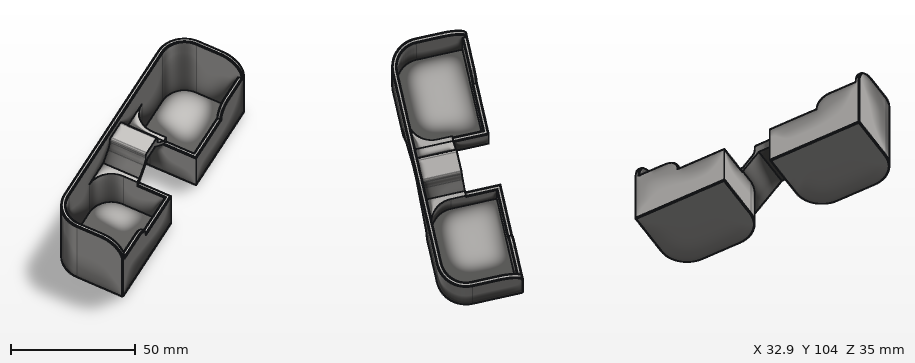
import cadquery as cq
import math

length = 104.0
depth = 32.9
height = 35.0

wall = 2.0
floor = 2.0
corner_radius = 12.0
bin_length = 41.5
edge_chamfer = 0.4

end_round = 10.0
high_rim = height - end_round
step_radius = 6.1
low_rim = high_rim - step_radius
step_start = 13.9

bridge_depth = 18.3
notch_top = 26.4
notch_flat = 6.1
saddle_top = 30.9
saddle_flat = 7.9
saddle_convex = 1.0
saddle_concave = 5.0
saddle_foot = 21.2

mid = length / 2
gap_half = mid - bin_length
notch_half = gap_half + corner_radius
overshoot = 1.0
margin = 0.1


def along_x(profile, x_start, x_end):
    """Extrude a closed (Y, Z) profile from x_start to x_end."""
    return profile.extrude(x_end - x_start).translate((x_start, 0, 0))


def rounded_block(x_size, y_size, z_size, radius):
    """Block with its lower corner at the origin and both -X uprights rounded."""
    block = cq.Workplane("XY").box(x_size, y_size, z_size, centered=False)
    return block.edges("|Z and <X").fillet(radius)


def notch():
    """Passage under the bridge: a 45 degree roof over an upright slot."""
    flat_half = notch_flat / 2
    spring = notch_top - (notch_half - flat_half)
    profile = (
        cq.Workplane("YZ")
        .moveTo(mid - notch_half, -overshoot)
        .lineTo(mid - notch_half, spring)
        .lineTo(mid - flat_half, notch_top)
        .lineTo(mid + flat_half, notch_top)
        .lineTo(mid + notch_half, spring)
        .lineTo(mid + notch_half, -overshoot)
        .close()
    )
    return along_x(profile, -overshoot, depth + overshoot)


def saddle_clearance():
    """Space above the bridge, shaped by the top of the saddle."""
    flat_half = saddle_flat / 2
    side_half = flat_half + saddle_convex
    diagonal = math.sqrt(0.5)
    slope_half = side_half + saddle_concave * (1 - diagonal)
    slope_top = saddle_foot + gap_half - slope_half
    arc_top = slope_top + saddle_concave * diagonal
    arc_center_half = side_half + saddle_concave
    arc_mid_half = arc_center_half - saddle_concave * math.cos(math.pi / 8)
    arc_mid_z = arc_top - saddle_concave * math.sin(math.pi / 8)
    convex_mid_half = flat_half + saddle_convex * diagonal
    convex_mid_z = saddle_top - saddle_convex * (1 - diagonal)
    convex_end_z = saddle_top - saddle_convex

    profile = (
        cq.Workplane("YZ")
        .moveTo(mid - notch_half, height + overshoot)
        .lineTo(mid - notch_half, saddle_foot)
        .lineTo(mid - gap_half, saddle_foot)
        .lineTo(mid - slope_half, slope_top)
        .threePointArc((mid - arc_mid_half, arc_mid_z), (mid - side_half, arc_top))
        .lineTo(mid - side_half, convex_end_z)
        .threePointArc((mid - convex_mid_half, convex_mid_z), (mid - flat_half, saddle_top))
        .lineTo(mid + flat_half, saddle_top)
        .threePointArc((mid + convex_mid_half, convex_mid_z), (mid + side_half, convex_end_z))
        .lineTo(mid + side_half, arc_top)
        .threePointArc((mid + arc_mid_half, arc_mid_z), (mid + slope_half, slope_top))
        .lineTo(mid + gap_half, saddle_foot)
        .lineTo(mid + notch_half, saddle_foot)
        .lineTo(mid + notch_half, height + overshoot)
        .close()
    )
    return along_x(profile, wall, depth)


def rim_clearance():
    """Space above the far walls: high rim near the ends, low rim near the gap."""
    step_end = step_start + step_radius
    profile = (
        cq.Workplane("YZ")
        .moveTo(wall, height + overshoot)
        .lineTo(wall, high_rim)
        .lineTo(step_start, high_rim)
        .radiusArc((step_end, low_rim), step_radius)
        .lineTo(length - step_end, low_rim)
        .radiusArc((length - step_start, high_rim), step_radius)
        .lineTo(length - wall, high_rim)
        .lineTo(length - wall, height + overshoot)
        .close()
    )
    return along_x(profile, bridge_depth, depth + overshoot)


def edges_in_box(low, high, whole_edge=False):
    """Select edges centred in a box (or wholly inside it), widened by the margin on every side."""
    padded_low = tuple(value - margin for value in low)
    padded_high = tuple(value + margin for value in high)
    return cq.selectors.BoxSelector(padded_low, padded_high, boundingbox=whole_edge)


def chamfer_far_rims(part):
    """Break the rims of the +X walls and of the low walls facing the gap."""
    along_depth = cq.selectors.ParallelDirSelector(cq.Vector(1, 0, 0))
    inset = wall + 2 * margin
    far_walls = edges_in_box((depth - wall, inset, low_rim), (depth, length - inset, high_rim))
    far_walls = far_walls - along_depth
    gap_walls = along_depth & edges_in_box(
        (bridge_depth, bin_length - wall, low_rim),
        (depth, length - bin_length + wall, low_rim),
    )
    return part.edges(far_walls + gap_walls).chamfer(edge_chamfer)


def chamfer_main_rim(part):
    """Break the underside and both sides of the top rim, which runs down the rounded end walls."""
    round_start = depth - end_round
    top = edges_in_box((0, 0, height), (depth, length, height))
    seams = edges_in_box((round_start, 0, height), (round_start, length, height))
    end_arcs = edges_in_box((round_start, 0, high_rim + 2 * margin), (depth, length, height - 2 * margin))
    rim = (top - seams) + end_arcs
    inside = edges_in_box((wall, wall, 0), (depth, length - wall, height), whole_edge=True)
    base_and_uprights = cq.StringSyntaxSelector("<Z or (|Z and >X and (<Y or >Y))")
    part = part.edges((rim - inside) + base_and_uprights).chamfer(edge_chamfer)
    return part.edges(rim & inside).chamfer(edge_chamfer)


bin_starts = (0, length - bin_length)
bin_outer = rounded_block(depth, bin_length, height, corner_radius)
bin_cavity = rounded_block(depth - 2 * wall, bin_length - 2 * wall, height, corner_radius - wall)

body = rounded_block(depth, length, height, corner_radius)
body = body.edges(">X and >Z").fillet(end_round)
passage = notch()
for bin_start in bin_starts:
    passage = passage.cut(bin_outer.translate((0, bin_start, 0)))
body = body.cut(passage)
gap = cq.Workplane("XY").box(depth, 2 * gap_half, height, centered=False)
body = body.cut(gap.translate((bridge_depth, bin_length, 0)))
for bin_start in bin_starts:
    body = body.cut(bin_cavity.translate((wall, bin_start + wall, floor)))
body = body.cut(saddle_clearance()).cut(rim_clearance())

result = chamfer_main_rim(chamfer_far_rims(body))